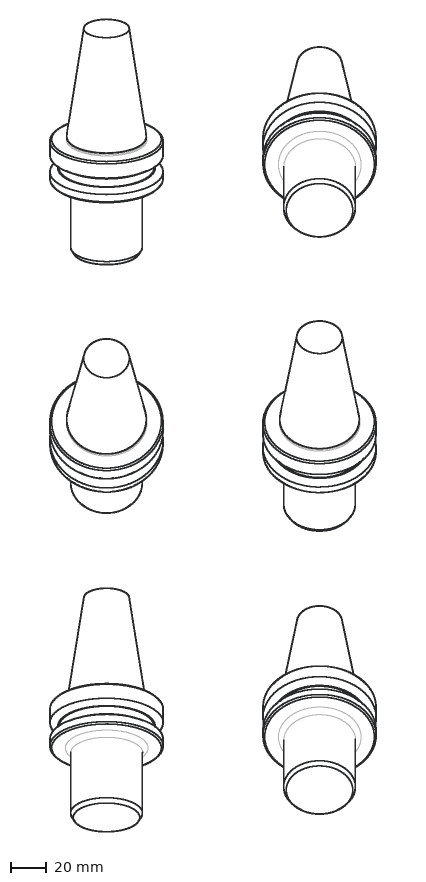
import cadquery as cq
import math

GAUGE_RADIUS = 44.45 / 2
TAPER_LENGTH = 65.4
TAPER_RATIO = 7 / 24
TAPER_END_RADIUS = GAUGE_RADIUS - TAPER_LENGTH * TAPER_RATIO / 2

RELIEF_RADIUS = 44 / 2
RELIEF_FILLET = 0.5
RELIEF_CHAMFER = GAUGE_RADIUS - RELIEF_RADIUS
GAUGE_LAND = 0.5

FLANGE_RADIUS = 63 / 2
FLANGE_TOP = -2.0
FLANGE_BOTTOM = -27.0
FLANGE_EDGE_CHAMFER = 1.0

GROOVE_CENTRE = -16.6
GROOVE_MOUTH_WIDTH = 10.0
GROOVE_SLOT_WIDTH = 5.0
GROOVE_FLOOR_RADIUS = 53 / 2
FLANK_ANGLE = math.radians(30)
FLANK_HEIGHT = (GROOVE_MOUTH_WIDTH - GROOVE_SLOT_WIDTH) / 2
FLANK_INNER_RADIUS = FLANGE_RADIUS - FLANK_HEIGHT / math.tan(FLANK_ANGLE)

NOSE_RADIUS = 40 / 2
NOSE_BOTTOM = -70.0
NOSE_FILLET = 3.0
NOSE_CHAMFER_DEPTH = 1.5
NOSE_CHAMFER_ANGLE = math.radians(30)
NOSE_CHAMFER_HEIGHT = NOSE_CHAMFER_DEPTH / math.tan(NOSE_CHAMFER_ANGLE)


def arc_middle(centre_r, centre_z, radius, r_side, z_side):
    """Midpoint of a quarter arc; the sides (+1 or -1) pick its quadrant."""
    offset = radius * math.sqrt(0.5)
    return (centre_r + r_side * offset, centre_z + z_side * offset)


def holder_profile():
    """Closed half section (radius, height), drawn from the taper end down to the nose."""
    relief_fillet_r = RELIEF_RADIUS + RELIEF_FILLET
    relief_fillet_z = FLANGE_TOP + RELIEF_FILLET
    edge_r = FLANGE_RADIUS - FLANGE_EDGE_CHAMFER
    edge_top_z = FLANGE_TOP - FLANGE_EDGE_CHAMFER
    edge_bottom_z = FLANGE_BOTTOM + FLANGE_EDGE_CHAMFER
    mouth_top = GROOVE_CENTRE + GROOVE_MOUTH_WIDTH / 2
    mouth_bottom = GROOVE_CENTRE - GROOVE_MOUTH_WIDTH / 2
    slot_top = GROOVE_CENTRE + GROOVE_SLOT_WIDTH / 2
    slot_bottom = GROOVE_CENTRE - GROOVE_SLOT_WIDTH / 2
    nose_fillet_r = NOSE_RADIUS + NOSE_FILLET
    nose_fillet_z = FLANGE_BOTTOM - NOSE_FILLET

    return (
        cq.Workplane("XZ")
        .moveTo(0, TAPER_LENGTH)
        .lineTo(TAPER_END_RADIUS, TAPER_LENGTH)
        .lineTo(GAUGE_RADIUS, 0)
        .lineTo(GAUGE_RADIUS, -GAUGE_LAND)
        .lineTo(RELIEF_RADIUS, -GAUGE_LAND - RELIEF_CHAMFER)
        .lineTo(RELIEF_RADIUS, relief_fillet_z)
        .threePointArc(
            arc_middle(relief_fillet_r, relief_fillet_z, RELIEF_FILLET, -1, -1),
            (relief_fillet_r, FLANGE_TOP),
        )
        .lineTo(edge_r, FLANGE_TOP)
        .lineTo(FLANGE_RADIUS, edge_top_z)
        .lineTo(FLANGE_RADIUS, mouth_top)
        .lineTo(FLANK_INNER_RADIUS, slot_top)
        .lineTo(GROOVE_FLOOR_RADIUS, slot_top)
        .lineTo(GROOVE_FLOOR_RADIUS, slot_bottom)
        .lineTo(FLANK_INNER_RADIUS, slot_bottom)
        .lineTo(FLANGE_RADIUS, mouth_bottom)
        .lineTo(FLANGE_RADIUS, edge_bottom_z)
        .lineTo(edge_r, FLANGE_BOTTOM)
        .lineTo(nose_fillet_r, FLANGE_BOTTOM)
        .threePointArc(
            arc_middle(nose_fillet_r, nose_fillet_z, NOSE_FILLET, -1, 1),
            (NOSE_RADIUS, nose_fillet_z),
        )
        .lineTo(NOSE_RADIUS, NOSE_BOTTOM + NOSE_CHAMFER_HEIGHT)
        .lineTo(NOSE_RADIUS - NOSE_CHAMFER_DEPTH, NOSE_BOTTOM)
        .lineTo(0, NOSE_BOTTOM)
        .close()
    )


result = holder_profile().revolve(360, (0, 0, 0), (0, 1, 0))